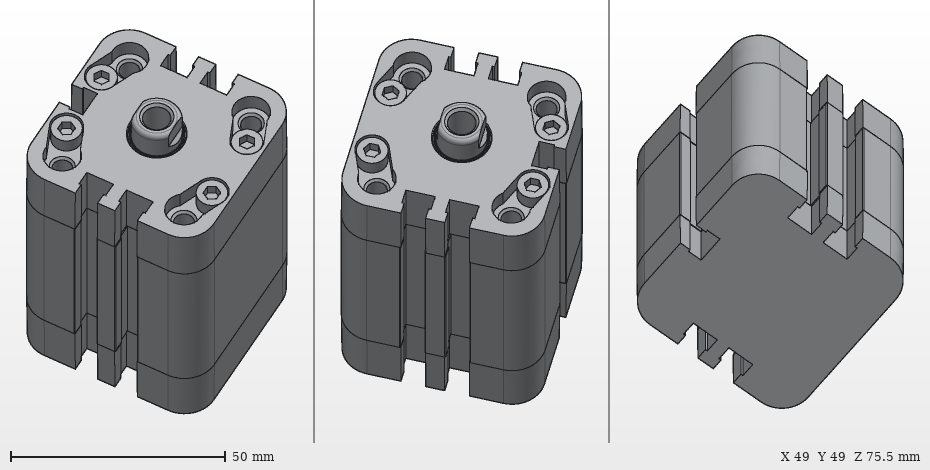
import cadquery as cq
import math


housing_width = 49.0
corner_radius = 8.0
cap_height = 14.0
housing_height = 68.85
barrel_height = housing_height - 2 * cap_height
cap_draft_angle = 0.6

slot_depth = 6.7
slot_lip = 3.0
cap_slot_offset = 5.3
cap_slot_mouth = 6.0
cap_slot_width = 7.1
barrel_slot_offset = 5.4
barrel_slot_mouth = 5.8
barrel_slot_width = 6.8
mouth_chamfer = 0.2

pocket_depth = 4.45
hole_offset = 16.2
hole_diameter = 4.9
hole_mouth_diameter = 6.1
hole_end_diameter = 9.0
screw_x = 19.4
screw_y = 8.45
slot_end_diameter = 8.0
screw_head_diameter = 7.4
screw_head_height = 3.9
socket_across_flats = 3.55
socket_depth = 2.5

rod_diameter = 12.0
rod_top = 75.5
rod_edge_radius = 1.2
flat_across = 10.0
flat_length = 4.45
rod_bore_diameter = 6.65
rod_bore_mouth_diameter = 8.0
rod_bore_depth = 15.1

recess_mouth_diameter = 14.2
recess_diameter = 13.7
ridge_outer_diameter = 13.05
ridge_inner_diameter = 12.5
recess_mouth_depth = 0.2
recess_depth = 0.6
ridge_drop = 0.2


def t_slots(offset, mouth, width, height):
    """Cutter for the two T-slots in +Y and -Y and the single one in -X, standing on Z = 0."""
    face = housing_width / 2

    def slot_at(x):
        floor_part = cq.Workplane("XY").box(width, slot_depth - slot_lip, height, centered=(True, False, False))
        mouth_part = cq.Workplane("XY").box(mouth, slot_depth, height, centered=(True, False, False))
        return floor_part.union(mouth_part).translate((x, face - slot_depth, 0))

    pair = slot_at(offset).union(slot_at(-offset))
    opposite_pair = pair.mirror("XZ")
    side_slot = slot_at(0).rotate((0, 0, 0), (0, 0, 1), 90)
    return pair.union(opposite_pair).union(side_slot)


def mouth_chamfers(offset, mouth, height):
    """Cutter that bevels the outer edges of the slot mouths."""
    face = housing_width / 2

    def bevel_at(x):
        bevel = (
            cq.Workplane("XY")
            .moveTo(x - mouth / 2, face - mouth_chamfer)
            .lineTo(x - mouth / 2 - mouth_chamfer, face)
            .lineTo(x + mouth / 2 + mouth_chamfer, face)
            .lineTo(x + mouth / 2, face - mouth_chamfer)
            .close()
        )
        return bevel.extrude(height)

    pair = bevel_at(offset).union(bevel_at(-offset))
    opposite_pair = pair.mirror("XZ")
    side_bevel = bevel_at(0).rotate((0, 0, 0), (0, 0, 1), 90)
    return pair.union(opposite_pair).union(side_bevel)


def rounded_square():
    """Housing outline as a closed face sketch."""
    return cq.Sketch().rect(housing_width, housing_width).vertices().fillet(corner_radius)


def cone_cutter(small_diameter, large_diameter, top_z):
    """45 degree countersink that opens upward and ends at top_z."""
    depth = (large_diameter - small_diameter) / 2
    cone = cq.Solid.makeCone(small_diameter / 2, large_diameter / 2, depth)
    return cq.Workplane(obj=cone.translate(cq.Vector(0, 0, top_z - depth)))


def build_barrel():
    barrel = cq.Workplane("XY").placeSketch(rounded_square()).extrude(barrel_height)
    barrel = barrel.cut(t_slots(barrel_slot_offset, barrel_slot_mouth, barrel_slot_width, barrel_height))
    barrel = barrel.cut(mouth_chamfers(barrel_slot_offset, barrel_slot_mouth, barrel_height))
    return barrel.translate((0, 0, cap_height))


def cap_blank():
    """Slotted cap whose wide end lies on Z = 0 and whose sides lean in towards +Z."""
    blank = cq.Workplane("XY").placeSketch(rounded_square()).extrude(cap_height, taper=cap_draft_angle)
    return blank.cut(t_slots(cap_slot_offset, cap_slot_mouth, cap_slot_width, cap_height))


def pocket_cutter():
    """Pocket in the +X +Y corner: a slot from screw to hole, widened around the hole."""
    run_x = screw_x - hole_offset
    run_y = screw_y - hole_offset
    run_length = math.hypot(run_x, run_y)
    run_angle = math.degrees(math.atan2(run_y, run_x))
    floor = cq.Workplane("XY").workplane(offset=cap_height - pocket_depth)
    slot = (
        floor.center((screw_x + hole_offset) / 2, (screw_y + hole_offset) / 2)
        .slot2D(run_length + slot_end_diameter, slot_end_diameter, run_angle)
        .extrude(pocket_depth)
    )
    widening = floor.center(hole_offset, hole_offset).circle(hole_end_diameter / 2).extrude(pocket_depth)
    return slot.union(widening)


def threaded_hole_cutter():
    hole = cq.Workplane("XY").circle(hole_diameter / 2).extrude(cap_height)
    hole = hole.union(cone_cutter(hole_diameter, hole_mouth_diameter, cap_height - pocket_depth))
    return hole.translate((hole_offset, hole_offset, 0))


def screw_head(socket_angle):
    """Screw head with a hexagon socket, rising from the pocket floor of the +X +Y corner."""
    head = cq.Workplane("XY").circle(screw_head_diameter / 2).extrude(screw_head_height)
    across_corners = socket_across_flats / math.cos(math.pi / 6)
    socket = (
        cq.Workplane("XY")
        .workplane(offset=screw_head_height - socket_depth)
        .polygon(6, across_corners)
        .extrude(socket_depth)
        .rotate((0, 0, 0), (0, 0, 1), socket_angle)
    )
    return head.cut(socket).translate((screw_x, screw_y, cap_height - pocket_depth))


def corner_cutter(socket_angle):
    """Everything removed at the +X +Y corner; the screw head is left standing in the pocket."""
    return pocket_cutter().cut(screw_head(socket_angle)).union(threaded_hole_cutter())


def wiper_cutter():
    """Cutter for the rod hole and the recess with its sloping ridge, turned about Z."""
    profile = (
        cq.Workplane("XZ")
        .lineTo(rod_diameter / 2, 0)
        .lineTo(rod_diameter / 2, cap_height - recess_depth)
        .lineTo(ridge_inner_diameter / 2, cap_height - ridge_drop)
        .lineTo(ridge_outer_diameter / 2, cap_height - ridge_drop)
        .lineTo(recess_diameter / 2, cap_height - recess_depth)
        .lineTo(recess_diameter / 2, cap_height - recess_mouth_depth)
        .lineTo(recess_mouth_diameter / 2, cap_height)
        .lineTo(0, cap_height)
        .close()
    )
    return profile.revolve(360, (0, 0, 0), (0, 1, 0))


def build_top_cap():
    cap = cap_blank()
    upper = corner_cutter(socket_angle=0)
    lower = corner_cutter(socket_angle=30).mirror("XZ")
    for corner in (upper, lower):
        cap = cap.cut(corner).cut(corner.mirror("YZ"))
    cap = cap.cut(wiper_cutter())
    return cap.translate((0, 0, cap_height + barrel_height))


def build_bottom_cap():
    return cap_blank().mirror("XY").translate((0, 0, cap_height))


def flat_cutter():
    """Cutter for the wrench flat on the +X side, with a 45 degree run-out at its lower end."""
    flat_x = flat_across / 2
    flat_bottom = rod_top - flat_length
    run_out = rod_diameter / 2 - flat_x
    return (
        cq.Workplane("XZ")
        .moveTo(flat_x, rod_top)
        .lineTo(flat_x, flat_bottom)
        .lineTo(flat_x + run_out, flat_bottom - run_out)
        .lineTo(flat_x + run_out, rod_top)
        .close()
        .extrude(rod_diameter / 2, both=True)
    )


def build_rod():
    rod_bottom = cap_height + barrel_height
    rod = cq.Workplane("XY").workplane(offset=rod_bottom).circle(rod_diameter / 2).extrude(rod_top - rod_bottom)
    rod = rod.faces(">Z").edges().fillet(rod_edge_radius)
    rod = rod.cut(flat_cutter()).cut(flat_cutter().mirror("YZ"))
    bore = cq.Workplane("XY").workplane(offset=rod_top - rod_bore_depth)
    rod = rod.cut(bore.circle(rod_bore_diameter / 2).extrude(rod_bore_depth))
    return rod.cut(cone_cutter(rod_bore_diameter, rod_bore_mouth_diameter, rod_top))


barrel = build_barrel()
top_cap = build_top_cap()
bottom_cap = build_bottom_cap()
rod = build_rod()

result = cq.Compound.makeCompound(
    [barrel.solids().val(), top_cap.solids().val(), bottom_cap.solids().val(), rod.solids().val()]
)